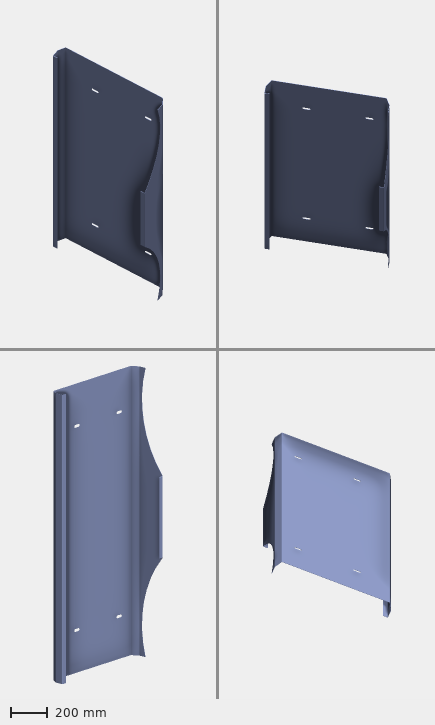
import cadquery as cq
import math

height = 1650.0
width = 690.0
depth = 215.0
sheet = 2.0
bend_radius = 5.0

bevel_x = 25.0
bevel_y = 43.0
left_depth = 89.0
lip_length = 30.0

tab_half_height = 231.0
end_depth = 87.0
scallop_radius = 634.0

slot_length = 45.0
slot_height = 16.0
slot_columns = (-125.0, 225.0)
slot_row = 582.0

half_width = width / 2
half_height = height / 2


def make_channel():
    """Constant-section sheet: back panel, bevels, flanges and inward lips, with rounded bends."""
    bevel_length = math.hypot(bevel_x, bevel_y)
    panel_inset = sheet * (bevel_length - bevel_x) / bevel_y
    flange_inset = sheet * (bevel_length - bevel_y) / bevel_x
    outer_bend = half_width - bevel_x
    inner_bend = outer_bend - panel_inset
    inner_wall = half_width - sheet
    inner_bevel_y = -bevel_y - flange_inset
    lip_edge = half_width - lip_length

    outer_corners = [
        (-half_width, -left_depth),
        (-half_width, -bevel_y),
        (-outer_bend, 0),
        (outer_bend, 0),
        (half_width, -bevel_y),
        (half_width, -depth),
    ]
    inner_corners = [
        (inner_wall, -depth + sheet),
        (inner_wall, inner_bevel_y),
        (inner_bend, -sheet),
        (-inner_bend, -sheet),
        (-inner_wall, inner_bevel_y),
        (-inner_wall, -left_depth + sheet),
    ]
    left_lip_end = [(-lip_edge, -left_depth + sheet), (-lip_edge, -left_depth)]
    right_lip_end = [(lip_edge, -depth), (lip_edge, -depth + sheet)]
    profile = outer_corners + right_lip_end + inner_corners + left_lip_end
    channel = cq.Workplane("XY").workplane(offset=-half_height).polyline(profile).close().extrude(height)
    channel = round_bends(channel, outer_corners, bend_radius)
    return round_bends(channel, inner_corners, bend_radius - sheet)


def round_bends(body, corners, radius):
    """Fillet the vertical edges standing at the given profile corners."""
    for x, y in corners:
        body = body.edges(cq.selectors.NearestToPointSelector((x, y, 0))).fillet(radius)
    return body


def make_scallop():
    """Cutter that hollows the upper part of the right flange and its lip with a circular arc."""
    tip = (-depth, tab_half_height)
    end = (-end_depth, half_height)
    chord_y = end[0] - tip[0]
    chord_z = end[1] - tip[1]
    chord = math.hypot(chord_y, chord_z)
    sagitta = scallop_radius - math.sqrt(scallop_radius**2 - (chord / 2) ** 2)
    middle = (
        (tip[0] + end[0]) / 2 + sagitta * chord_z / chord,
        (tip[1] + end[1]) / 2 - sagitta * chord_y / chord,
    )
    return (
        cq.Workplane("YZ")
        .workplane(offset=half_width - lip_length)
        .moveTo(*tip)
        .threePointArc(middle, end)
        .lineTo(-depth, half_height)
        .close()
        .extrude(lip_length)
    )


def make_slots():
    """Four horizontal slots through the back panel."""
    centers = [(x, z) for x in slot_columns for z in (-slot_row, slot_row)]
    return cq.Workplane("XZ").pushPoints(centers).slot2D(slot_length, slot_height).extrude(2 * sheet)


scallop = make_scallop()
result = (
    make_channel()
    .cut(scallop)
    .cut(scallop.mirror("XY"))
    .cut(make_slots())
    .translate((0, depth / 2, 0))
)